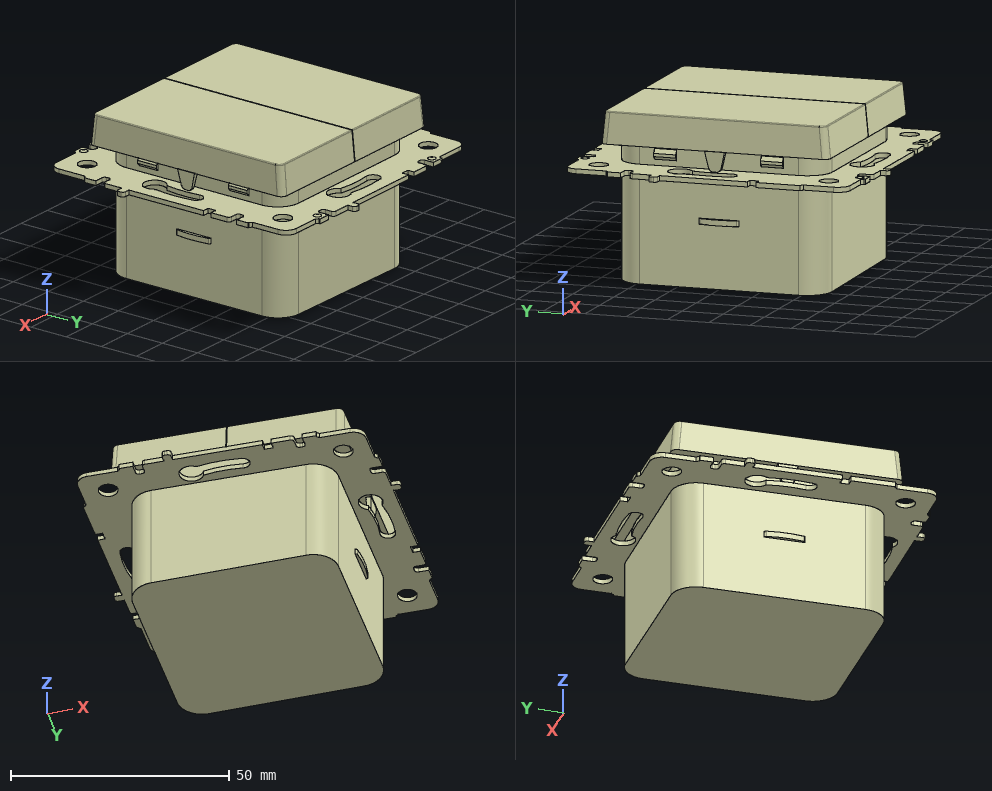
import cadquery as cq
import math


plate_span = 74.4
plate_thickness = 1.2
edge_half = 35.1
corner_half = 34.2
corner_radius = 3.0
step_start = 23.35
step_chamfer = 0.6
tab_offset = 11.7
tab_width = 2.1
edge_rounding = 0.75
slit_offset = 19.05
slit_width = 2.1
slit_depth = 3.2
square_notch_depth = 1.8
corner_hole_offset = 27.9
corner_hole_diameter = 4.5

slot_radius = 30.0
slot_width = 3.6
slot_end_angle = 8.4
slot_lobe_angle = 15.2
slot_lobe_radius = 2.8

stud_x = 21.95
stud_y = 33.3
stud_base_radius = 1.0
stud_tip_radius = 0.2
stud_height = 0.3

rocker_top = 12.5
rocker_height = 7.7
rocker_top_x = 54.9
rocker_top_y = 53.9
rocker_base_span = 55.35
rocker_corner_radius = 1.55
rocker_edge_radius = 0.2
rocker_gap = 0.2
rocker_bottom = rocker_top - rocker_height

total_height = 40.55
housing_x = 48.8
housing_y = 50.7
housing_radius = 6.0
floor_rise = 0.7
housing_bottom = rocker_top - total_height

clip_y = 12.95
clip_width = 5.35
clip_reach = 0.7
clip_top = 3.95
clip_face_top = 2.9
clip_face_bottom = 2.15
clip_bottom = 1.4

rib_radius = 25.3
rib_length = 9.7
rib_top = -11.6
rib_thickness = 1.35
rib_end_radius = 0.45

tongue_x = 26.895
tongue_root_thickness = 1.3
tongue_tip_thickness = 0.7
tongue_root_width = 4.8
tongue_waist_width = 3.0
tongue_waist_z = 0.75
tongue_tip_z = -0.15

overlap = 0.4


def spin(shape, quarter_turns):
    return shape.rotate((0, 0, 0), (0, 0, 1), 90 * quarter_turns)


def plate_block(size_x, size_y, x, y):
    """Plate-thick block centred on (x, y), with its upper face at Z = 0."""
    return (
        cq.Workplane("XY")
        .box(size_x, size_y, plate_thickness, centered=(True, True, False))
        .translate((x, y, -plate_thickness))
    )


def edge_strip():
    """Strip that widens the +Y side of the plate, with a chamfered step at each end."""
    low = corner_half - overlap
    step_end = step_start + step_chamfer
    return (
        cq.Workplane("XY")
        .polyline(
            [
                (-step_end, low),
                (-step_end, corner_half),
                (-step_start, corner_half + step_chamfer),
                (-step_start, edge_half),
                (step_start, edge_half),
                (step_start, corner_half + step_chamfer),
                (step_end, corner_half),
                (step_end, low),
            ]
        )
        .close()
        .extrude(-plate_thickness)
    )


def tab():
    root = edge_half - overlap
    tip = plate_span / 2
    block = plate_block(tab_width, tip - root, tab_offset, (tip + root) / 2)
    return block.edges("|Z and >Y").fillet(edge_rounding)


def square_notch():
    y = edge_half - square_notch_depth / 2
    return plate_block(tab_width, square_notch_depth, -tab_offset, y)


def slit(side):
    """Deep slit in the +Y side, its mouth rounded on the edge nearer the middle."""
    floor_y = edge_half - slit_depth
    inner = slit_offset - slit_width / 2
    outer = slit_offset + slit_width / 2
    r = edge_rounding
    diagonal = r * math.sqrt(0.5)
    profile = (
        cq.Workplane("XY")
        .moveTo(outer, edge_half)
        .lineTo(outer, floor_y + r)
        .radiusArc((outer - r, floor_y), r)
        .lineTo(inner + r, floor_y)
        .radiusArc((inner, floor_y + r), r)
        .lineTo(inner, edge_half - r)
        .threePointArc(
            (inner - r + diagonal, edge_half - r + diagonal), (inner - r, edge_half)
        )
        .close()
        .extrude(-plate_thickness)
    )
    return profile if side > 0 else profile.mirror("YZ")


def polar(radius, angle_from_y):
    angle = math.radians(angle_from_y)
    return (radius * math.sin(angle), radius * math.cos(angle))


def fixing_slot():
    """Arc slot near the +Y side, with a plain round end and a larger lobe."""
    inner = slot_radius - slot_width / 2
    outer = slot_radius + slot_width / 2
    band = (
        cq.Workplane("XY")
        .moveTo(*polar(inner, -slot_end_angle))
        .threePointArc((0, inner), polar(inner, slot_lobe_angle))
        .lineTo(*polar(outer, slot_lobe_angle))
        .threePointArc((0, outer), polar(outer, -slot_end_angle))
        .close()
        .extrude(-plate_thickness)
    )
    ends = (
        (slot_width / 2, polar(slot_radius, -slot_end_angle)),
        (slot_lobe_radius, polar(slot_radius, slot_lobe_angle)),
    )
    for radius, centre in ends:
        band = band.union(
            cq.Workplane("XY").center(*centre).circle(radius).extrude(-plate_thickness)
        )
    return band


def make_plate():
    plate = plate_block(2 * corner_half, 2 * corner_half, 0, 0)
    plate = plate.edges("|Z").fillet(corner_radius)
    for turn in range(4):
        plate = plate.union(spin(edge_strip(), turn)).union(spin(tab(), turn))
    for turn in range(4):
        plate = plate.cut(spin(square_notch(), turn)).cut(spin(fixing_slot(), turn))
        for side in (1, -1):
            if turn == 1 and side < 0:
                continue
            plate = plate.cut(spin(slit(side), turn))
    holes = (
        cq.Workplane("XY")
        .rect(2 * corner_hole_offset, 2 * corner_hole_offset, forConstruction=True)
        .vertices()
        .circle(corner_hole_diameter / 2)
        .extrude(-plate_thickness)
    )
    return plate.cut(holes)


def make_studs():
    cone = cq.Solid.makeCone(stud_base_radius, stud_tip_radius, stud_height)
    return (
        cq.Workplane("XY")
        .rect(2 * stud_x, 2 * stud_y, forConstruction=True)
        .vertices()
        .eachpoint(lambda place: cone.moved(place))
    )


def make_rockers():
    """Tapered cap split into two rockers by a narrow gap along Y."""
    cap = (
        cq.Workplane("XY")
        .workplane(offset=rocker_bottom)
        .rect(rocker_base_span, rocker_base_span)
        .workplane(offset=rocker_height)
        .rect(rocker_top_x, rocker_top_y)
        .loft(ruled=True)
    )
    cap = cap.edges("not #Z").fillet(rocker_corner_radius)
    cap = cap.faces(">Z").edges().fillet(rocker_edge_radius)
    gap = (
        cq.Workplane("XY")
        .box(rocker_gap, rocker_base_span, rocker_height, centered=(True, True, False))
        .translate((0, 0, rocker_bottom))
    )
    return cap.cut(gap)


def make_housing():
    """Rounded box reaching up to the rockers; its floor rises toward +X."""
    half_x = housing_x / 2
    box = (
        cq.Workplane("XZ")
        .polyline(
            [
                (-half_x, housing_bottom),
                (half_x, housing_bottom + floor_rise),
                (half_x, rocker_bottom),
                (-half_x, rocker_bottom),
            ]
        )
        .close()
        .extrude(housing_y / 2, both=True)
    )
    return box.edges("|Z").fillet(housing_radius)


def make_clip(y):
    wall = housing_x / 2
    return (
        cq.Workplane("XZ", origin=(0, y, 0))
        .polyline(
            [
                (wall - overlap, clip_top),
                (wall, clip_top),
                (wall + clip_reach, clip_face_top),
                (wall + clip_reach, clip_face_bottom),
                (wall, clip_bottom),
                (wall - overlap, clip_bottom),
            ]
        )
        .close()
        .extrude(clip_width / 2, both=True)
    )


def make_rib():
    """Flat rib whose outer face is an arc about the part's axis."""
    root = housing_x / 2 - overlap
    half = rib_length / 2
    end_x = math.sqrt(rib_radius**2 - half**2)
    rib = (
        cq.Workplane("XY", origin=(0, 0, rib_top))
        .moveTo(root, -half)
        .lineTo(end_x, -half)
        .threePointArc((rib_radius, 0), (end_x, half))
        .lineTo(root, half)
        .close()
        .extrude(-rib_thickness)
    )
    outer_edges = cq.selectors.BoxSelector(
        (end_x - overlap / 2, -rib_length, rib_top - rib_thickness),
        (end_x + overlap / 2, rib_length, rib_top),
    )
    return rib.edges("|Z").edges(outer_edges).fillet(rib_end_radius)


def make_tongue():
    """Tapered tongue with a round tip sunk slightly into the plate."""
    outline = (
        cq.Workplane("YZ")
        .moveTo(-tongue_root_width / 2, rocker_bottom)
        .lineTo(-tongue_waist_width / 2, tongue_waist_z)
        .threePointArc((0, tongue_tip_z), (tongue_waist_width / 2, tongue_waist_z))
        .lineTo(tongue_root_width / 2, rocker_bottom)
        .close()
        .extrude(plate_span / 2)
    )
    thickness = (
        cq.Workplane("XZ")
        .polyline(
            [
                (tongue_x - tongue_root_thickness / 2, rocker_bottom),
                (tongue_x - tongue_tip_thickness / 2, tongue_tip_z),
                (tongue_x + tongue_tip_thickness / 2, tongue_tip_z),
                (tongue_x + tongue_root_thickness / 2, rocker_bottom),
            ]
        )
        .close()
        .extrude(tongue_root_width, both=True)
    )
    return outline.intersect(thickness)


result = make_housing().union(make_plate()).union(make_rockers()).union(make_studs())
side_details = make_clip(clip_y).union(make_clip(-clip_y)).union(make_rib()).union(make_tongue())
for half_turns in (0, 2):
    result = result.union(spin(side_details, half_turns))